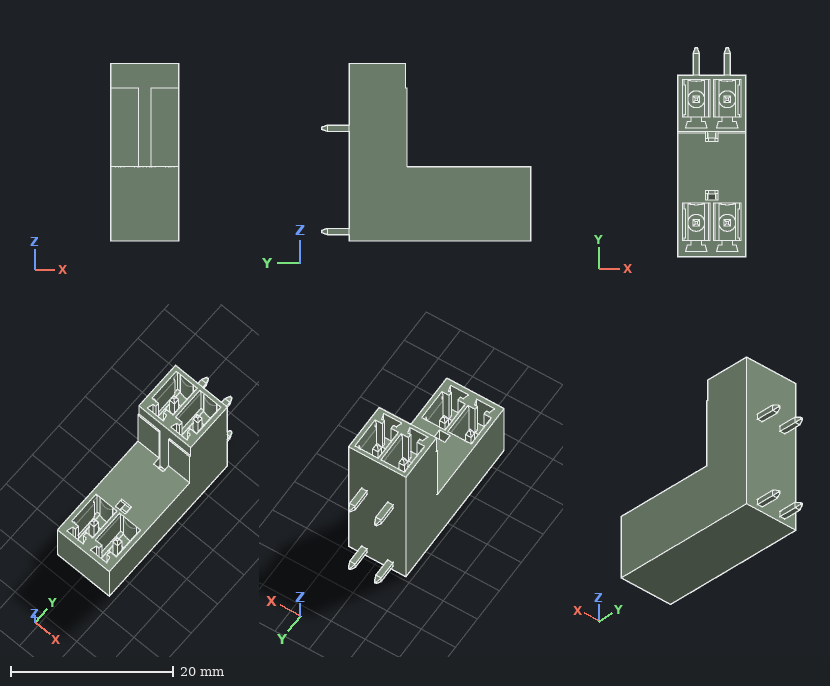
import cadquery as cq


width = 8.4
depth = 22.4
floor_z = 9.18
row_rise = 12.72
height = floor_z + row_rise
column_depth = 6.97
panel_thickness = 0.18
panel_drop = 3.02
slot_width = 1.55

pitch = 3.82
pin_from_back = 2.97
row_setback = 15.22
rows = [(-pin_from_back - row_setback, floor_z), (-pin_from_back, height)]
sides = (-1, 1)

mouth_width = 3.4
pocket_width = 3.05
pocket_depth = 6.45
flare_depth = 0.65
back_reach = 2.43
front_reach = 2.17
wall_slope = (mouth_width - pocket_width) / 2 / flare_depth
collar_diameter = 2.1
channel_width = collar_diameter
channel_step = 0.13

rib_thickness = 0.18
rib_front_reach = 1.88
rib_back_reach = 1.73

bulge_edge = 0.05
bulge_crown = 0.2
bulge_cut_depth = 1.4

stem_width = 1.3
stem_length = 0.55
key_back_width = 2.17
key_front_width = 2.63
key_length = 0.83
key_depth = 5.15

pin_width = 0.8
tip_width = 0.28
tip_length = 0.72
tip_below_rim = 1.45
tail_below_rim = 8.0
tail_length = 3.4
collar_height = 0.25

recess_length = 1.19
bar_back_y = -column_depth
bar_front_y = -15.4
tunnel_roof_depth = 0.9
ridge_top_depth = 1.8
ridge_top = floor_z - ridge_top_depth
ridge_height = 1.45
base_top = ridge_top - ridge_height
base_thickness = 0.52
bar_bottom = base_top - base_thickness
ridge_width = 0.85
ridge_foot_width = 1.03
ramp_length = 0.75
shoulder_setback = 0.85


def block(x_size, y_low, y_high, z_low, z_high):
    """A box centred on X between the given Y and Z limits."""
    size_y = y_high - y_low
    size_z = z_high - z_low
    solid = cq.Workplane("XY").box(x_size, size_y, size_z, centered=(True, False, False))
    return solid.translate((0, y_low, z_low))


def housing_body():
    """The L-shaped block with two thin raised panels on the column's front."""
    base = block(width, -depth, 0, 0, floor_z)
    column = block(width, -column_depth, 0, 0, height)
    panel_y = -column_depth - panel_thickness
    panel_top_z = height - panel_drop
    panels = block(width, panel_y, -column_depth, floor_z, panel_top_z)
    gap = block(slot_width, panel_y, -column_depth, floor_z, panel_top_z)
    return base.union(column).union(panels.cut(gap))


def flared_pocket():
    """The pocket's hollow below a rim at Z = 0, wider at the mouth."""
    half_mouth = mouth_width / 2
    half_pocket = pocket_width / 2
    half_channel = channel_width / 2
    section = [
        (-half_mouth, 0),
        (-half_pocket, -flare_depth),
        (-half_pocket, -pocket_depth + channel_step),
        (-half_channel, -pocket_depth + channel_step),
        (-half_channel, -pocket_depth),
        (half_channel, -pocket_depth),
        (half_channel, -pocket_depth + channel_step),
        (half_pocket, -pocket_depth + channel_step),
        (half_pocket, -flare_depth),
        (half_mouth, 0),
    ]
    pocket = cq.Workplane("XZ").polyline(section).close().extrude(front_reach + back_reach)
    return pocket.translate((0, back_reach, 0))


def wall_rib():
    """The rib on the -X pocket wall, its top following the slope of the mouth."""
    wall_x = -pocket_width / 2
    rib_x = wall_x + rib_thickness
    rib_top = -flare_depth - rib_thickness / wall_slope
    section = [
        (wall_x, -flare_depth),
        (rib_x, rib_top),
        (rib_x, -pocket_depth),
        (wall_x, -pocket_depth),
    ]
    rib = cq.Workplane("XZ").polyline(section).close().extrude(rib_front_reach + rib_back_reach)
    return rib.translate((0, rib_back_reach, 0))


def back_bulge():
    """The rounded swelling of the back wall, its top cut by a sloping plane."""
    half = channel_width / 2
    bulge = (
        cq.Workplane("XY")
        .moveTo(-half, back_reach)
        .lineTo(-half, back_reach - bulge_edge)
        .threePointArc((0, back_reach - bulge_crown), (half, back_reach - bulge_edge))
        .lineTo(half, back_reach)
        .close()
        .extrude(-pocket_depth)
    )
    slope = (
        cq.Workplane("YZ")
        .polyline([
            (back_reach, 0),
            (back_reach - bulge_crown, -bulge_cut_depth),
            (back_reach - bulge_crown, 0),
        ])
        .close()
        .extrude(half, both=True)
    )
    return bulge.cut(slope)


def coding_slot():
    """The T-shaped slot opening into the front of a pocket."""
    stem_y = -front_reach - stem_length
    key_y = stem_y - key_length
    half_stem = stem_width / 2
    outline = [
        (-half_stem, -front_reach),
        (-half_stem, stem_y),
        (-key_back_width / 2, stem_y),
        (-key_front_width / 2, key_y),
        (key_front_width / 2, key_y),
        (key_back_width / 2, stem_y),
        (half_stem, stem_y),
        (half_stem, -front_reach),
    ]
    return cq.Workplane("XY").polyline(outline).close().extrude(-key_depth)


def contact_hollow(side):
    """Pocket and coding slot, with the rib towards the outer side."""
    rib = wall_rib()
    if side > 0:
        rib = rib.mirror("YZ")
    return flared_pocket().cut(rib).cut(back_bulge()).union(coding_slot())


def tapered_tip(start):
    """The pyramid-shaped end of a pin, growing from the given start plane."""
    return (
        cq.Workplane(start)
        .rect(pin_width, pin_width)
        .workplane(offset=tip_length)
        .rect(tip_width, tip_width)
        .loft(ruled=True)
    )


def pin(back_y):
    """A bent square pin: tip up, tail out to back_y, collar sunk in the pocket floor."""
    half = pin_width / 2
    contact_top = -tip_below_rim - tip_length
    tail_end = back_y - tip_length
    tail_bottom = -tail_below_rim - half
    contact = block(pin_width, -half, half, tail_bottom, contact_top)
    tail = block(pin_width, -half, tail_end, tail_bottom, tail_bottom + pin_width)
    contact_tip = tapered_tip(cq.Plane(origin=(0, 0, contact_top), xDir=(1, 0, 0), normal=(0, 0, 1)))
    tail_tip = tapered_tip(cq.Plane(origin=(0, tail_end, -tail_below_rim), xDir=(1, 0, 0), normal=(0, 1, 0)))
    collar = (
        cq.Workplane("XY", origin=(0, 0, -pocket_depth))
        .circle(collar_diameter / 2)
        .extrude(-collar_height)
    )
    return contact.union(tail).union(contact_tip).union(tail_tip).union(collar)


def ridge_prism(foot_width, y_low, y_high):
    """A straight ridge with sloping sides, from the bar's base up to the ridge top."""
    section = [
        (-foot_width / 2, base_top),
        (-ridge_width / 2, ridge_top),
        (ridge_width / 2, ridge_top),
        (foot_width / 2, base_top),
    ]
    prism = cq.Workplane("XZ").polyline(section).close().extrude(y_high - y_low)
    return prism.translate((0, y_high, 0))


def latch_bar():
    """A flat bar with a ridge that ramps down at both ends and is broad in between."""
    base = block(slot_width, bar_front_y, bar_back_y, bar_bottom, base_top)
    ramps = (
        cq.Workplane("YZ")
        .polyline([
            (bar_front_y, base_top),
            (bar_front_y + ramp_length, ridge_top),
            (bar_back_y - ramp_length, ridge_top),
            (bar_back_y, base_top),
        ])
        .close()
        .extrude(slot_width / 2, both=True)
    )
    ridge = ridge_prism(ridge_foot_width, bar_front_y, bar_back_y).intersect(ramps)
    broad_ridge = ridge_prism(slot_width, bar_front_y + shoulder_setback, bar_back_y - shoulder_setback)
    return base.union(ridge).union(broad_ridge)


def latch_cavity():
    """The tunnel for the latch bar and the recesses above its two ends."""
    tunnel = block(slot_width, bar_front_y, bar_back_y, bar_bottom, floor_z - tunnel_roof_depth)
    front_recess = block(slot_width, bar_front_y, bar_front_y + recess_length, bar_bottom, floor_z)
    back_recess = block(slot_width, bar_back_y - recess_length, bar_back_y, bar_bottom, floor_z)
    return tunnel.union(front_recess).union(back_recess)


housing = housing_body().cut(latch_cavity())
pins = []
for row_y, rim_z in rows:
    for side in sides:
        place = (side * pitch / 2, row_y, rim_z)
        contact = pin(tail_length - row_y).translate(place)
        housing = housing.cut(contact_hollow(side).translate(place)).cut(contact)
        pins.append(contact)

bar = latch_bar()

result = cq.Compound.makeCompound([housing.val(), bar.val(), *[contact.val() for contact in pins]])